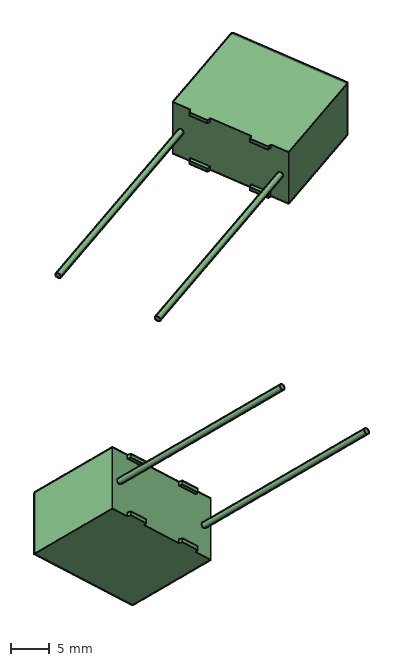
import cadquery as cq

case_width = 17.5
case_depth = 15.0
case_height = 9.51
back_edge_radius = 0.5

foot_base_width = 3.0
foot_draft = 0.13
foot_length = 0.5
foot_thickness = 0.6
foot_pitch = 9.15

lead_diameter = 0.85
lead_pitch = 15.0
lead_length = 30.5


def make_foot(center_x, bottom_z):
    """One foot: a trapezoid that narrows from the seating face to its tip."""
    half_base = foot_base_width / 2
    half_tip = half_base - foot_draft
    return (
        cq.Workplane("XY", origin=(center_x, 0, bottom_z))
        .moveTo(-half_base, 0)
        .lineTo(-half_tip, -foot_length)
        .lineTo(half_tip, -foot_length)
        .lineTo(half_base, 0)
        .close()
        .extrude(foot_thickness)
    )


def make_case():
    """Box with a rounded rim around its back face and four feet in front."""
    body = (
        cq.Workplane("XY")
        .box(case_width, case_depth, case_height)
        .translate((0, case_depth / 2, 0))
        .faces(">Y")
        .edges()
        .fillet(back_edge_radius)
    )
    for center_x in (-foot_pitch / 2, foot_pitch / 2):
        for bottom_z in (-case_height / 2, case_height / 2 - foot_thickness):
            body = body.union(make_foot(center_x, bottom_z))
    return body


def make_lead(center_x):
    """Straight round wire that starts on the seating face and runs toward -Y."""
    return (
        cq.Workplane("XZ", origin=(center_x, 0, 0))
        .circle(lead_diameter / 2)
        .extrude(lead_length)
    )


case = make_case()
leads = [make_lead(center_x) for center_x in (-lead_pitch / 2, lead_pitch / 2)]

result = cq.Compound.makeCompound([case.val(), *[lead.val() for lead in leads]])